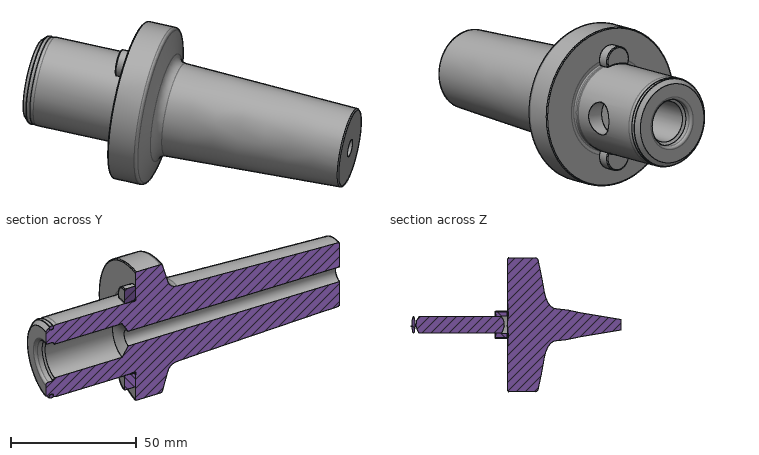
import cadquery as cq
import math

TOTAL_LENGTH = 131.0

SHANK_DIAMETER = 36.0
SHANK_RADIUS = SHANK_DIAMETER / 2
NOSE_RADIUS = 16.0
NOSE_CHAMFER = 1.7
LEAD_START_X = 3.5
LEAD_END_X = 4.8
LEAD_RADIUS = 17.7

RING_WIDTH = LEAD_START_X - NOSE_CHAMFER
RING_SECTION_RADIUS = RING_WIDTH / 2
RING_CENTRE_X = NOSE_CHAMFER + RING_SECTION_RADIUS
RING_CENTRE_RADIUS = SHANK_RADIUS - RING_SECTION_RADIUS

RELIEF_START_X = 37.6
RELIEF_FLOOR_X = 38.8
RELIEF_RADIUS = 17.7
RELIEF_CORNER = 0.5
RELIEF_DEPTH_IN_FACE = 0.3
RELIEF_FACE_RADIUS = 19.6

FLANGE_FACE_X = 40.0
FLANGE_RIM_END_X = 52.0
FLANGE_DIAMETER = 64.0
FLANGE_RADIUS = FLANGE_DIAMETER / 2
FLANGE_CHAMFER = 0.4
RIM_FILLET = 1.3
FLANGE_BACK_ANGLE = 15.0

STEM_ROOT_RADIUS = 19.0
STEM_END_RADIUS = 16.0
STEM_ROOT_FILLET = 4.0
STEM_END_CHAMFER = 0.5

MOUTH_RADIUS = 9.4
MOUTH_FILLET = 1.2
MOUTH_DEPTH = 3.3
BORE_RADIUS = 8.3
BORE_DEPTH = 34.0
THROUGH_RADIUS = 3.5
BORE_CONE_HALF_ANGLE = 60.0

CROSS_HOLE_X = 24.4
CROSS_HOLE_RADIUS = 6.5
CROSS_HOLE_DEPTH = 6.5

KEY_RADIUS = 5.5
KEY_LENGTH = 5.0
KEY_CENTRE_RADIUS = 19.6
KEY_CHAMFER = 0.4
KEY_ANGLES = (0, 180)


def turned(outline):
    """Revolve a closed outline, drawn as (x, radius), about the X axis."""
    return outline.close().revolve(360, (0, 0, 0), (1, 0, 0))


def circles_at(body, x):
    """Circular edges of a turned body whose plane lies at x."""
    margin = 0.07
    low_corner = (x - margin, -margin, -margin)
    high_corner = (x + margin, margin, margin)
    return body.edges(cq.selectors.BoxSelector(low_corner, high_corner))


def make_holder():
    """Shank, flange and tapered stem turned in one piece, with the groove and holes cut in."""
    flange_back_slope = math.tan(math.radians(FLANGE_BACK_ANGLE))
    stem_root_x = FLANGE_RIM_END_X + (FLANGE_RADIUS - STEM_ROOT_RADIUS) * flange_back_slope
    relief_bottom_x = FLANGE_FACE_X + RELIEF_DEPTH_IN_FACE
    body = turned(
        cq.Workplane("XY")
        .moveTo(0, 0)
        .lineTo(0, NOSE_RADIUS)
        .lineTo(NOSE_CHAMFER, NOSE_RADIUS + NOSE_CHAMFER)
        .lineTo(LEAD_START_X, LEAD_RADIUS)
        .lineTo(LEAD_END_X, SHANK_RADIUS)
        .lineTo(RELIEF_START_X, SHANK_RADIUS)
        .lineTo(RELIEF_FLOOR_X, RELIEF_RADIUS)
        .lineTo(relief_bottom_x - RELIEF_CORNER, RELIEF_RADIUS)
        .radiusArc((relief_bottom_x, RELIEF_RADIUS + RELIEF_CORNER), -RELIEF_CORNER)
        .lineTo(FLANGE_FACE_X, RELIEF_FACE_RADIUS)
        .lineTo(FLANGE_FACE_X, FLANGE_RADIUS - FLANGE_CHAMFER)
        .lineTo(FLANGE_FACE_X + FLANGE_CHAMFER, FLANGE_RADIUS)
        .lineTo(FLANGE_RIM_END_X, FLANGE_RADIUS)
        .lineTo(stem_root_x, STEM_ROOT_RADIUS)
        .lineTo(TOTAL_LENGTH - STEM_END_CHAMFER, STEM_END_RADIUS)
        .lineTo(TOTAL_LENGTH, STEM_END_RADIUS - STEM_END_CHAMFER)
        .lineTo(TOTAL_LENGTH, 0)
    )
    body = circles_at(body, FLANGE_RIM_END_X).fillet(RIM_FILLET)
    body = circles_at(body, stem_root_x).fillet(STEM_ROOT_FILLET)
    return body.cut(make_ring()).cut(make_bore()).cut(make_cross_hole())


def make_bore():
    """Tool for the central bore: rounded mouth, bore with a conical floor, and a through hole."""
    slope = math.tan(math.radians(BORE_CONE_HALF_ANGLE))
    return turned(
        cq.Workplane("XY")
        .moveTo(0, 0)
        .lineTo(0, MOUTH_RADIUS + MOUTH_FILLET)
        .radiusArc((MOUTH_FILLET, MOUTH_RADIUS), -MOUTH_FILLET)
        .lineTo(MOUTH_DEPTH, MOUTH_RADIUS)
        .lineTo(MOUTH_DEPTH + (MOUTH_RADIUS - BORE_RADIUS) / slope, BORE_RADIUS)
        .lineTo(BORE_DEPTH, BORE_RADIUS)
        .lineTo(BORE_DEPTH + (BORE_RADIUS - THROUGH_RADIUS) / slope, THROUGH_RADIUS)
        .lineTo(TOTAL_LENGTH, THROUGH_RADIUS)
        .lineTo(TOTAL_LENGTH, 0)
    )


def make_cross_hole():
    """Tool for the blind hole that runs from the +Y side of the shank towards its axis."""
    return (
        cq.Workplane("XZ", origin=(CROSS_HOLE_X, SHANK_RADIUS, 0))
        .circle(CROSS_HOLE_RADIUS)
        .extrude(CROSS_HOLE_DEPTH)
    )


def make_ring():
    """Round-section ring; the same shape cuts the groove that holds it."""
    return (
        cq.Workplane("XY")
        .center(RING_CENTRE_X, RING_CENTRE_RADIUS)
        .circle(RING_SECTION_RADIUS)
        .revolve(360, (0, -RING_CENTRE_RADIUS, 0), (1, -RING_CENTRE_RADIUS, 0))
    )


def make_key(angle):
    """Round key on the flange face, its underside hollowed to sit on the shank."""
    key = (
        cq.Workplane("YZ", origin=(FLANGE_FACE_X - KEY_LENGTH, 0, KEY_CENTRE_RADIUS))
        .circle(KEY_RADIUS)
        .extrude(KEY_LENGTH)
    )
    shank = cq.Workplane("YZ").circle(SHANK_RADIUS).extrude(FLANGE_FACE_X)
    key = key.cut(shank).faces("<X").chamfer(KEY_CHAMFER)
    return key.rotate((0, 0, 0), (1, 0, 0), angle)


holder = make_holder()
seal_ring = make_ring()
keys = [make_key(angle).val() for angle in KEY_ANGLES]

result = cq.Compound.makeCompound([holder.val(), seal_ring.val(), *keys])